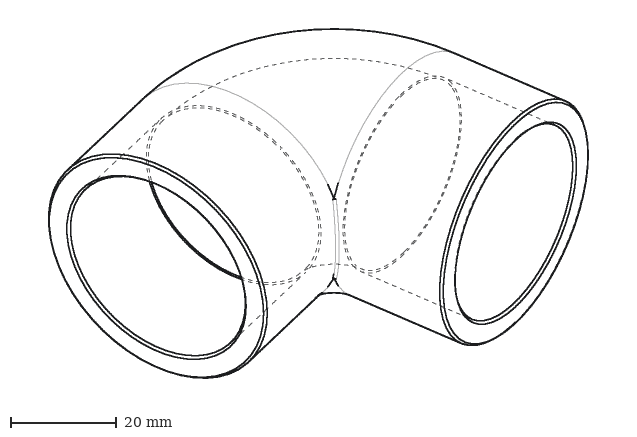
import cadquery as cq
import math


outer_diameter = 50.0
socket_diameter = 40.0
stop_step = 0.5
rim_chamfer = 0.5
bend_radius = 23.0
bend_angle = 90
socket_depth = 26.0
crotch_fillet = 0.5

outer_radius = outer_diameter / 2
socket_radius = socket_diameter / 2
bore_radius = socket_radius - stop_step
end_distance = bend_radius + socket_depth

x_arm_plane = cq.Plane(origin=(bend_radius, 0, 0), xDir=(0, 1, 0), normal=(1, 0, 0))
y_arm_plane = cq.Plane(origin=(0, -bend_radius, 0), xDir=(1, 0, 0), normal=(0, -1, 0))
arm_planes = (x_arm_plane, y_arm_plane)

crotch_half_height = math.sqrt(outer_radius**2 - bend_radius**2)


def bend(radius):
    """Quarter bend of a round pipe.

    The section is cut off at the pivot axis, so that a pipe wider than the
    bend radius does not sweep through itself.
    """
    cut_center = bend_radius + outer_radius
    section = cq.Sketch().circle(radius).push([(cut_center, 0)])
    section = section.rect(outer_diameter, outer_diameter, mode="s")
    return (
        cq.Workplane(y_arm_plane)
        .placeSketch(section)
        .revolve(bend_angle, (bend_radius, 1, 0), (bend_radius, -1, 0))
    )


def arm_body(plane):
    """Round outside of one arm with a chamfered outer rim."""
    body = cq.Workplane(plane).circle(outer_radius).extrude(socket_depth)
    return body.faces(cq.selectors.DirectionMinMaxSelector(plane.zDir)).chamfer(rim_chamfer)


def crotch():
    """Filleted inner corner between the two arms.

    Both round outsides run through from the axis crossing, are cut to the
    height over which the arms cross, filleted along their shared edge and then
    trimmed to the corner beyond the bend.
    """
    height = 2 * crotch_half_height
    pipes = cq.Workplane("YZ").circle(outer_radius).extrude(end_distance)
    pipes = pipes.union(cq.Workplane("XZ").circle(outer_radius).extrude(end_distance))
    slab = pipes.intersect(cq.Workplane().box(2 * end_distance, 2 * end_distance, height))

    edge_box = cq.selectors.BoxSelector(
        (0, 0, -outer_radius),
        (outer_radius + crotch_fillet, -outer_radius - crotch_fillet, outer_radius),
    )
    filleted = slab.edges(edge_box).fillet(crotch_fillet)

    trim_size = socket_depth - rim_chamfer
    trim = cq.Workplane().box(trim_size, trim_size, height, centered=(False, False, True))
    return filleted.intersect(trim.translate((bend_radius, -bend_radius - trim_size, 0)))


def arm_socket(plane):
    """Socket of one arm, widening to a chamfered mouth at the end face."""
    profile = [
        (0, 0),
        (socket_radius, 0),
        (socket_radius, socket_depth - rim_chamfer),
        (socket_radius + rim_chamfer, socket_depth),
        (0, socket_depth),
    ]
    profile_plane = cq.Plane(origin=plane.origin, xDir=plane.xDir, normal=plane.yDir * -1)
    return cq.Workplane(profile_plane).polyline(profile).close().revolve(360, (0, 0, 0), (0, 1, 0))


result = bend(outer_radius)
for arm_plane in arm_planes:
    result = result.union(arm_body(arm_plane))
result = result.union(crotch())

result = result.cut(bend(bore_radius))
for arm_plane in arm_planes:
    result = result.cut(arm_socket(arm_plane))